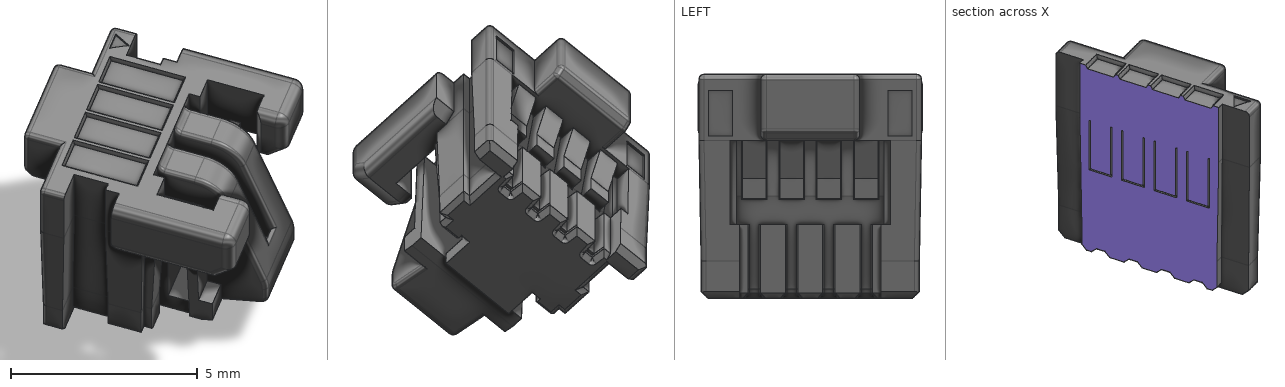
import cadquery as cq
import math

TOP_Z = 6.0
HEAD_Z = 4.23
DRAFT_END_Z = 1.0
DRAFT_ANGLE = 1.0
HEAD_HEIGHT = TOP_Z - HEAD_Z

TAB_X0, TAB_X1, TAB_HALF = 1.03, 1.725, 2.98
CORE_X0, CORE_X1, CORE_HALF = 1.45, 4.05, 2.145
RIB_X0, RIB_X1, RIB_HALF = 2.69, 3.74, 2.36
NOTCH_X, NOTCH_HALF = 3.74, 1.45
BACK_BASE_X = 3.905
EDGE_ROUND = 0.14
TAB_CHAMFER = 0.19
BASE_CHAMFER = 0.15

GRIP_HALF = 1.32
GRIP_CHAMFER = 0.23
GRIP_ROUND = 0.15

PITCH = 1.0
CONTACTS = 4
CONTACT_YS = [(i - (CONTACTS - 1) / 2) * PITCH for i in range(CONTACTS)]

SHELF_Z = 1.97
SHALLOW_X, DEEP_X = 1.48, 1.835
WINDOW_HALF, WINDOW_DEEP_HALF, LEG_INNER_HALF = CORE_HALF, 1.98, 1.9
SLOPE_START_Z, SLOPE_TOP_X = 2.74, 1.575
SLOT_RELIEF_DEPTH, SLOT_RELIEF_Z = 0.07, 0.255
SLOT_FRONT_WIDTH, SLOT_BACK_WIDTH = 0.335, 0.255
FLARE_ANGLE = 45.0
CONTACT_WIDTH = 0.63
CONTACT_GAP = 0.03
APERTURE_DEPTH = 0.14
CONTACT_Z0, CONTACT_Z1, CONTACT_TOP_X = 2.67, 3.21, 1.115

POCKET_X0, POCKET_X1, POCKET_WIDTH = 1.32, 3.465, 0.905
POCKET_DEPTH, POCKET_BEVEL = 0.1, 0.055
MARK_DEPTH = 0.055
PANEL_Y0, PANEL_Y1, PANEL_Z0, PANEL_Z1 = 2.08, 2.725, 4.35, 5.56
TRIANGLE_X0, TRIANGLE_X1, TRIANGLE_Y, TRIANGLE_HALF = 1.22, 1.68, 2.47, 0.255

ARM_X0, ARM_X1 = 3.075, 6.51
ARM_HALF, ARM_INNER = 3.0, 2.06
HOOK_X0, HOOK_INNER, HOOK_CHAMFER = 5.645, 1.34, 0.165
ARM_ROUND = 0.3
ARM_END_CHAMFER = 0.5

LATCH_HALF = 1.15
LATCH_X1 = 6.85
BEAM_TOP = 5.815
BEND_X, BEND_R = 4.79, 1.0
BEAM_BOTTOM = BEAM_TOP - BEND_R
BEND_TURN = 70.0
LATCH_FOOT_Z = 0.815
LATCH_INNER_X, LATCH_FOOT_X0, LATCH_FOOT_X1 = 4.76, 4.9, 5.24
NOSE_Z0 = 1.3
NOSE_TOP_R, NOSE_LOW_R = 1.0, 0.275
LATCH_ROUND = 0.14
SLOT_END_ROUND = 0.07
MIN_BACK_NORMAL = 0.1
ROOT_ROUND = TOP_Z - BEAM_TOP
LATCH_SLOT_HALF, LATCH_SLOT_END, LATCH_SLOT_FLOOR = 0.205, 6.47, 2.4
EAR_HALF = 1.85
EAR_TOP_X, EAR_LOW_X, EAR_STEP_X, EAR_STEP_Z = 5.055, 5.15, 5.54, 1.61

STOP_RAMP_Z0, STOP_RAMP_Z1 = 2.165, 3.7
STOP_HEIGHT, STOP_X1 = 0.51, 4.66


def box(x0, x1, y0, y1, z0, z1):
    return cq.Workplane("XY").box(x1 - x0, y1 - y0, z1 - z0, centered=False).translate((x0, y0, z0))


def side_prism(points, y0, y1):
    """Prism along Y over a closed (x, z) outline."""
    return cq.Workplane("XZ", origin=(0, y1, 0)).polyline(points).close().extrude(y1 - y0)


def mirrored(solid):
    return solid.union(solid.mirror("XZ"))


def drafted_block(x0, x1, half):
    """Straight head, tapered middle and straight base over one rectangle."""
    inset = (HEAD_Z - DRAFT_END_Z) * math.tan(math.radians(DRAFT_ANGLE))
    middle = (
        cq.Workplane("XY", origin=((x0 + x1) / 2, 0, HEAD_Z))
        .rect(x1 - x0, 2 * half)
        .extrude(-(HEAD_Z - DRAFT_END_Z), taper=DRAFT_ANGLE)
    )
    base = box(x0 + inset, x1 - inset, inset - half, half - inset, 0, DRAFT_END_Z)
    return box(x0, x1, -half, half, HEAD_Z, TOP_Z), middle, base


def make_tabs():
    """Wide front block that forms both tabs and the legs below them."""
    head, middle, base = drafted_block(TAB_X0, TAB_X1, TAB_HALF)
    head = head.edges("|Z and <X").fillet(EDGE_ROUND)
    head = head.faces(">Z").edges("<X or <Y or >Y").fillet(EDGE_ROUND)
    base = base.faces("<Z").edges("not >X").chamfer(TAB_CHAMFER)
    base = base.faces("<X").edges("|Z").fillet(EDGE_ROUND)
    middle = middle.faces("<X").edges("<Y or >Y").fillet(EDGE_ROUND)
    return head.union(middle).union(base)


def make_block(x0, x1, half):
    head, middle, base = drafted_block(x0, x1, half)
    return head.union(middle).union(base.faces("<Z").chamfer(BASE_CHAMFER))


def make_core():
    """Central block and the slightly wider ribs on its sides."""
    return make_block(CORE_X0, CORE_X1, CORE_HALF).union(make_block(RIB_X0, RIB_X1, RIB_HALF))


def make_grip():
    """Rounded finger grip that overhangs the front of the head."""
    grip = box(0, TAB_X0 + EDGE_ROUND, -GRIP_HALF, GRIP_HALF, HEAD_Z, TOP_Z)
    grip = grip.faces("<Z").edges("<X").chamfer(GRIP_CHAMFER)
    return grip.edges("not >X").fillet(GRIP_ROUND)


def cut_back(body):
    """Slope the back wall and open the notch for the latch."""
    back_wedge = [
        (CORE_X1, HEAD_Z),
        (BACK_BASE_X, DRAFT_END_Z),
        (BACK_BASE_X, 0),
        (CORE_X1, 0),
    ]
    body = body.cut(side_prism(back_wedge, -CORE_HALF, CORE_HALF))
    return body.cut(box(NOTCH_X, CORE_X1, -NOTCH_HALF, NOTCH_HALF, 0, TOP_Z))


def cut_front_cavity(body):
    """Open the space between the legs, leaving a comb below and a sloped wall above."""
    body = body.cut(box(0, SHALLOW_X, -WINDOW_HALF, WINDOW_HALF, SHELF_Z, HEAD_Z))
    wall_outline = [
        (SHALLOW_X, SHELF_Z),
        (DEEP_X, SHELF_Z),
        (DEEP_X, SLOPE_START_Z),
        (SLOPE_TOP_X, HEAD_Z),
        (SHALLOW_X, HEAD_Z),
    ]
    body = body.cut(side_prism(wall_outline, -WINDOW_DEEP_HALF, WINDOW_DEEP_HALF))
    body = body.cut(box(0, SHALLOW_X, -LEG_INNER_HALF, LEG_INNER_HALF, 0, SHELF_Z))
    for y in CONTACT_YS:
        body = body.cut(comb_slot(y))
    front_bevel = [
        (SHALLOW_X, 0),
        (SHALLOW_X + BASE_CHAMFER, 0),
        (SHALLOW_X, BASE_CHAMFER),
    ]
    return body.cut(side_prism(front_bevel, -LEG_INNER_HALF, LEG_INNER_HALF))


def comb_slot(y):
    """Slot between two teeth, narrowing inwards, with a deeper and flared lower end."""
    half_front, half_back = SLOT_FRONT_WIDTH / 2, SLOT_BACK_WIDTH / 2

    def outline(back_x):
        return [
            (SHALLOW_X, y - half_front),
            (back_x, y - half_back),
            (back_x, y + half_back),
            (SHALLOW_X, y + half_front),
        ]

    relief_x = DEEP_X + SLOT_RELIEF_DEPTH
    slot = cq.Workplane("XY").polyline(outline(DEEP_X)).close().extrude(SHELF_Z)
    relief = cq.Workplane("XY").polyline(outline(relief_x)).close().extrude(SLOT_RELIEF_Z)
    flare = (
        cq.Workplane("XY", origin=(0, 0, BASE_CHAMFER))
        .polyline(outline(relief_x))
        .close()
        .extrude(-BASE_CHAMFER, taper=-FLARE_ANGLE)
    )
    return slot.union(relief).union(flare)


def make_contact(y):
    """Contact nose with a front face that leans forward towards the head."""
    outline = [
        (DEEP_X + APERTURE_DEPTH, CONTACT_Z0),
        (SHALLOW_X, CONTACT_Z0),
        (SHALLOW_X, CONTACT_Z1),
        (CONTACT_TOP_X, HEAD_Z),
        (DEEP_X + APERTURE_DEPTH, HEAD_Z),
    ]
    return side_prism(outline, y - CONTACT_WIDTH / 2, y + CONTACT_WIDTH / 2)


def contact_aperture(y):
    """Recess in the wall that leaves a narrow gap around the contact."""
    half = CONTACT_WIDTH / 2 + CONTACT_GAP
    return box(SLOPE_TOP_X, DEEP_X + APERTURE_DEPTH, y - half, y + half, CONTACT_Z0 - CONTACT_GAP, HEAD_Z)


def make_pocket(y):
    """Shallow top pocket with bevelled walls."""
    bevel_angle = math.degrees(math.atan(POCKET_BEVEL / POCKET_DEPTH))
    return (
        cq.Workplane("XY", origin=((POCKET_X0 + POCKET_X1) / 2, y, TOP_Z))
        .rect(POCKET_X1 - POCKET_X0, POCKET_WIDTH)
        .extrude(-POCKET_DEPTH, taper=bevel_angle)
    )


def cut_marks(body):
    """Recessed panels on both tabs and the triangle beside the first contact."""
    body = body.cut(
        mirrored(box(TAB_X0, TAB_X0 + MARK_DEPTH, PANEL_Y0, PANEL_Y1, PANEL_Z0, PANEL_Z1))
    )
    triangle = [
        (TRIANGLE_X0, TRIANGLE_Y - TRIANGLE_HALF),
        (TRIANGLE_X1, TRIANGLE_Y),
        (TRIANGLE_X0, TRIANGLE_Y + TRIANGLE_HALF),
    ]
    return body.cut(
        cq.Workplane("XY", origin=(0, 0, TOP_Z)).polyline(triangle).close().extrude(-MARK_DEPTH)
    )


def make_arms():
    """Pair of hooked guard arms, built on the -Y side and mirrored."""
    outline = [
        (ARM_X0, TOP_Z),
        (ARM_X1, TOP_Z),
        (ARM_X1, HEAD_Z + ARM_END_CHAMFER),
        (ARM_X1 - ARM_END_CHAMFER, HEAD_Z),
        (ARM_X0, HEAD_Z),
    ]
    arm = side_prism(outline, -ARM_HALF, -HOOK_INNER)
    outer_edges = arm.faces("<Y").edges("not <X")
    hook_edges = arm.faces(">Y").edges("not <X")
    end_edges = arm.faces(">X").edges(">Z")
    arm = arm.newObject(outer_edges.vals() + hook_edges.vals() + end_edges.vals()).fillet(ARM_ROUND)
    opening = box(ARM_X0, HOOK_X0, -ARM_INNER, 0, HEAD_Z, TOP_Z)
    arm = arm.cut(opening)
    hook_bevel = (
        cq.Workplane("XY", origin=(0, 0, HEAD_Z))
        .moveTo(HOOK_X0, -HOOK_INNER)
        .lineTo(HOOK_X0 + HOOK_CHAMFER, -HOOK_INNER)
        .lineTo(HOOK_X0, -HOOK_INNER - HOOK_CHAMFER)
        .close()
        .extrude(HEAD_HEIGHT)
    )
    start_bevel = side_prism(
        [(ARM_X0, HEAD_Z), (ARM_X0 + ARM_ROUND, HEAD_Z), (ARM_X0, HEAD_Z + ARM_ROUND)],
        -ARM_HALF,
        -RIB_HALF,
    )
    return mirrored(arm.cut(hook_bevel).cut(start_bevel))


def make_latch():
    """Beam from the head that bends down into a wedge-shaped arm with a central slot."""
    turn = math.radians(BEND_TURN)
    bend_center_z = BEAM_BOTTOM
    bend_mid = (BEND_X + BEND_R * math.sin(turn / 2), bend_center_z + BEND_R * math.cos(turn / 2))
    bend_end = (BEND_X + BEND_R * math.sin(turn), bend_center_z + BEND_R * math.cos(turn))
    nose_top_z = bend_end[1] - (LATCH_X1 - bend_end[0]) * math.tan(turn)
    root_sag = ROOT_ROUND * (1 - math.sqrt(0.5))
    root_mid = (NOTCH_X + root_sag, BEAM_TOP + root_sag)
    latch = (
        cq.Workplane("XZ", origin=(0, LATCH_HALF, 0))
        .moveTo(NOTCH_X, TOP_Z)
        .threePointArc(root_mid, (NOTCH_X + ROOT_ROUND, BEAM_TOP))
        .lineTo(BEND_X, BEAM_TOP)
        .threePointArc(bend_mid, bend_end)
        .lineTo(LATCH_X1, nose_top_z)
        .lineTo(LATCH_X1, NOSE_Z0)
        .lineTo(LATCH_FOOT_X1, LATCH_FOOT_Z)
        .lineTo(LATCH_FOOT_X0, LATCH_FOOT_Z)
        .lineTo(LATCH_INNER_X, BEAM_BOTTOM)
        .lineTo(NOTCH_X, BEAM_BOTTOM)
        .close()
        .extrude(2 * LATCH_HALF)
    )
    nose_edges = latch.edges("|Y and >X")
    latch = nose_edges.edges(">Z").fillet(NOSE_TOP_R)
    latch = latch.edges("|Y and >X").edges("<Z").fillet(NOSE_LOW_R)
    slot = box(NOTCH_X, LATCH_SLOT_END, -LATCH_SLOT_HALF, LATCH_SLOT_HALF, LATCH_SLOT_FLOOR, TOP_Z)
    return round_latch_edges(latch.cut(slot))


def round_latch_edges(latch):
    """Round the long edges of the outer surface, both sides and around the slot."""
    root_and_beam = cq.selectors.BoxSelector(
        (NOTCH_X, -LATCH_HALF, BEAM_TOP - LATCH_ROUND), (BEND_X, LATCH_HALF, TOP_Z)
    )
    front_faces = latch.faces(root_and_beam).vals()
    back_faces = [face for face in latch.faces().vals() if face.normalAt().x > MIN_BACK_NORMAL]
    outer = latch.newObject(front_faces + back_faces)
    side_edges = outer.edges("not |Y").vals()
    latch = latch.newObject(side_edges).fillet(LATCH_ROUND)
    slot_end = cq.selectors.BoxSelector(
        (LATCH_SLOT_END - SLOT_END_ROUND, -LATCH_SLOT_HALF, LATCH_SLOT_FLOOR + SLOT_END_ROUND),
        (LATCH_SLOT_END + SLOT_END_ROUND, LATCH_SLOT_HALF, TOP_Z),
    )
    return latch.edges("|Y").edges(slot_end).fillet(SLOT_END_ROUND)


def make_ears():
    """Side wings of the latch, each ending in a stepped foot."""
    slope = (NOSE_Z0 - LATCH_FOOT_Z) / (LATCH_X1 - LATCH_FOOT_X1)
    step_bottom_z = LATCH_FOOT_Z + slope * (EAR_STEP_X - LATCH_FOOT_X1)
    outline = [
        (LATCH_INNER_X, BEAM_BOTTOM),
        (EAR_TOP_X, BEAM_BOTTOM),
        (EAR_LOW_X, EAR_STEP_Z),
        (EAR_STEP_X, EAR_STEP_Z),
        (EAR_STEP_X, step_bottom_z),
        (LATCH_FOOT_X1, LATCH_FOOT_Z),
        (LATCH_FOOT_X0, LATCH_FOOT_Z),
    ]
    return mirrored(side_prism(outline, LATCH_SLOT_HALF, EAR_HALF))


def make_stop():
    """Ramped stop with a foot, behind the core and below the latch."""
    outline = [
        (NOTCH_X, 0),
        (STOP_X1, 0),
        (STOP_X1, STOP_HEIGHT),
        (CORE_X1, STOP_HEIGHT),
        (CORE_X1, STOP_RAMP_Z0),
        (NOTCH_X, STOP_RAMP_Z1),
    ]
    return side_prism(outline, -LATCH_HALF, LATCH_HALF)


body = cut_front_cavity(cut_back(make_core().union(make_tabs())))
body = body.union(make_grip()).union(make_arms())
for contact_y in CONTACT_YS:
    body = body.cut(contact_aperture(contact_y)).union(make_contact(contact_y))
    body = body.cut(make_pocket(contact_y))
body = cut_marks(body)
result = body.union(make_latch()).union(make_ears()).union(make_stop())